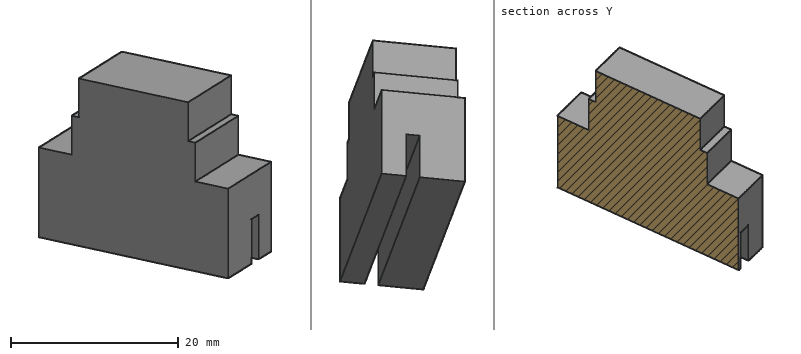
import cadquery as cq

depth = 10.16
base_width = 26.3

base_height = 11.56
shoulder_width = 17.2
shoulder_height = 5.0
head_width = 15.2
head_height = 5.0

slot_width = 1.65
slot_height = 5.75
slot_back_wall = 3.0


def step(width, height, bottom):
    """Full-depth block centred on X and Y, with its underside at Z = bottom."""
    return (
        cq.Workplane("XY")
        .box(width, depth, height, centered=(True, True, False))
        .translate((0, 0, bottom))
    )


def bottom_slot():
    """Cutter for the slot through both X ends of the base."""
    slot_center_y = depth / 2 - slot_back_wall - slot_width / 2
    return (
        cq.Workplane("XY")
        .box(base_width, slot_width, slot_height, centered=(True, True, False))
        .translate((0, slot_center_y, 0))
    )


base = step(base_width, base_height, 0)
shoulder = step(shoulder_width, shoulder_height, base_height)
head = step(head_width, head_height, base_height + shoulder_height)

result = base.union(shoulder).union(head).cut(bottom_slot())